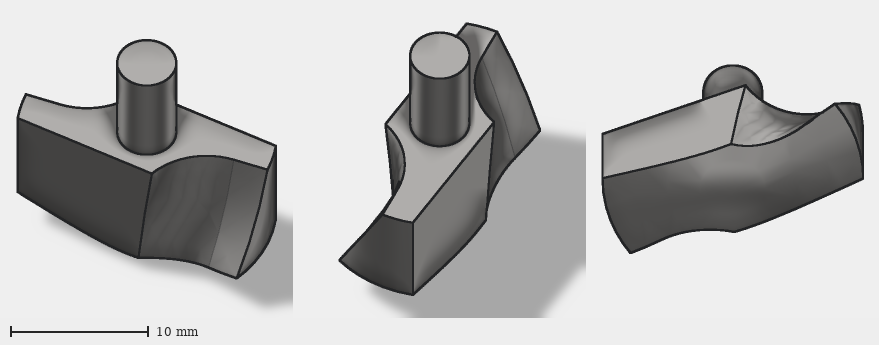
import cadquery as cq
import math

total_height = 19.1
body_top = 11.25
body_radius = 9.45
body_thickness = 6.57
cone_height = 2.86
shank_diameter = 4.3

flute_radius = 5.5
tangent_x = 6.8
tangent_y = 0.69
lip_angle = 7.2
flute_reach = 14.32
helix_lead = 124.15

flute_twist = 360.0 * body_top / helix_lead


def make_blank():
    """Flat-sided slab of a pointed cylinder, with its axis on Z."""
    pointed_cylinder = (
        cq.Workplane("XZ")
        .lineTo(body_radius, cone_height)
        .lineTo(body_radius, body_top)
        .lineTo(0, body_top)
        .close()
        .revolve(360, (0, 0, 0), (0, 1, 0))
    )
    slab = cq.Workplane("XY").box(
        2 * body_radius, body_thickness, body_top, centered=(True, True, False)
    )
    return pointed_cylinder.intersect(slab)


def make_flute_cutter():
    """Twisted cutter: a straight lip that runs tangentially into a round gullet."""
    lip = math.radians(lip_angle)
    center_x = tangent_x + flute_radius * math.sin(lip)
    center_y = tangent_y - flute_radius * math.cos(lip)

    gullet_end = (center_x - flute_radius, center_y)
    middle_angle = (math.pi / 2 + lip + math.pi) / 2
    gullet_middle = (
        center_x + flute_radius * math.cos(middle_angle),
        center_y + flute_radius * math.sin(middle_angle),
    )
    lip_end_y = tangent_y + (flute_reach - tangent_x) * math.tan(lip)

    return (
        cq.Workplane("XY")
        .moveTo(flute_reach, lip_end_y)
        .lineTo(tangent_x, tangent_y)
        .threePointArc(gullet_middle, gullet_end)
        .lineTo(gullet_end[0], -flute_reach)
        .lineTo(flute_reach, -flute_reach)
        .close()
        .twistExtrude(body_top, flute_twist)
        .rotate((0, 0, 0), (0, 0, 1), -flute_twist)
    )


def make_shank():
    return (
        cq.Workplane("XY")
        .workplane(offset=body_top)
        .circle(shank_diameter / 2)
        .extrude(total_height - body_top)
    )


body = make_blank()
flute_cutter = make_flute_cutter()
for flute_angle in (0, 180):
    body = body.cut(flute_cutter.rotate((0, 0, 0), (0, 0, 1), flute_angle))

result = body.union(make_shank())